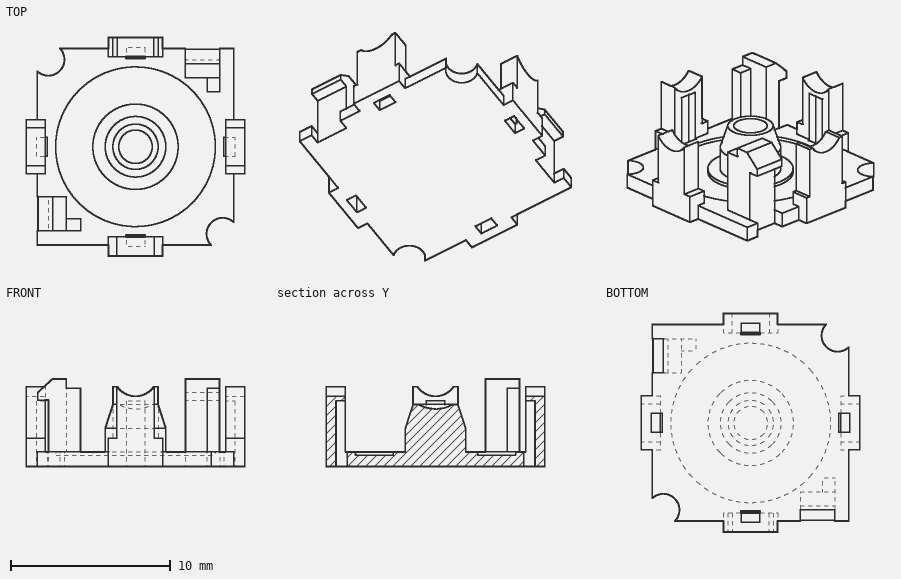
import cadquery as cq

overall_span = 13.7
plate_side = 12.3
plate_thickness = 0.93
corner_notch_radius = 1.0
corner_notch_offset = 5.45

recess_outer_diameter = 10.0
recess_inner_diameter = 5.34
recess_depth = 0.2

boss_diameter = 3.8
boss_straight_top = 2.41
boss_top_diameter = 2.84
boss_top = 3.89
dish_diameter = 2.1
dish_depth = 0.27

post_depth = 1.22
post_foot_width = 3.38
post_shoulder = 1.77
post_top = 5.01
post_width = 2.37
wide_post_width = 2.84
wide_post_saddle_width = 2.27
saddle_bottom = 4.41

slot_width = 1.18
slot_top = 4.11
slot_depth_in_post = 0.59
slot_clearance = 0.1

clip_height = 5.5
clip_near = 3.12
clip_far = 5.26
hook_tip = 6.11
hook_underside = 4.16
hook_ramp_start = 4.65
hook_ramp_end = 5.19
clip_stem_outer = 5.45
clip_stem_inner = 4.33
clip_rib_inner = 3.44
clip_rib_top = 4.92
clip_rib_width = 0.77


def make_plate():
    plate = cq.Workplane("XY").rect(plate_side, plate_side).extrude(plate_thickness)
    notches = (
        cq.Workplane("XY")
        .pushPoints([
            (-corner_notch_offset, corner_notch_offset),
            (corner_notch_offset, -corner_notch_offset),
        ])
        .circle(corner_notch_radius)
        .extrude(plate_thickness)
    )
    recess = (
        cq.Workplane("XY", origin=(0, 0, plate_thickness - recess_depth))
        .circle(recess_outer_diameter / 2)
        .circle(recess_inner_diameter / 2)
        .extrude(recess_depth)
    )
    return plate.cut(notches).cut(recess)


def make_boss():
    """Round boss with a tapered upper part and a spherical dish in its top."""
    profile = (
        cq.Workplane("XZ")
        .lineTo(boss_diameter / 2, 0)
        .lineTo(boss_diameter / 2, boss_straight_top)
        .lineTo(boss_top_diameter / 2, boss_top)
        .lineTo(0, boss_top)
        .close()
    )
    boss = profile.revolve(360, (0, 0, 0), (0, 1, 0))
    dish_radius = ((dish_diameter / 2) ** 2 + dish_depth ** 2) / (2 * dish_depth)
    dish = cq.Workplane("XY").sphere(dish_radius)
    return boss.cut(dish.translate((0, 0, boss_top - dish_depth + dish_radius)))


def make_post(width, saddle_width):
    """Post on the -Y side: a wide foot, a narrower column and a concave saddle on top."""
    outer_face_position = (0, -overall_span / 2, 0)
    centered_on_x = (True, False, False)
    foot = cq.Workplane("XY").box(post_foot_width, post_depth, post_shoulder, centered=centered_on_x)
    column = cq.Workplane("XY").box(width, post_depth, post_top, centered=centered_on_x)
    saddle = (
        cq.Workplane("XZ")
        .moveTo(saddle_width / 2, post_top)
        .threePointArc((0, saddle_bottom), (-saddle_width / 2, post_top))
        .close()
        .extrude(-post_depth)
    )
    return foot.union(column).cut(saddle).translate(outer_face_position)


def make_slot():
    """Cutter for the slot of the -Y post."""
    inner_face = -overall_span / 2 + post_depth
    length = slot_depth_in_post + slot_clearance
    return (
        cq.Workplane("XY")
        .box(slot_width, length, slot_top, centered=(True, False, False))
        .translate((0, inner_face - slot_depth_in_post, 0))
    )


def make_clip():
    """Snap clip at the -X, -Y corner, hooked towards -X, with a rib on its inner side."""
    hook = (
        cq.Workplane("XZ", origin=(0, -clip_near, 0))
        .moveTo(-clip_stem_inner, 0)
        .lineTo(-clip_stem_outer, 0)
        .lineTo(-clip_stem_outer, hook_underside)
        .lineTo(-hook_tip, hook_underside)
        .lineTo(-hook_tip, hook_ramp_start)
        .lineTo(-hook_ramp_end, clip_height)
        .lineTo(-clip_stem_inner, clip_height)
        .close()
        .extrude(clip_far - clip_near)
    )
    rib_length = clip_stem_inner - clip_rib_inner
    rib = (
        cq.Workplane("XY")
        .box(rib_length, clip_rib_width, clip_rib_top, centered=False)
        .translate((-clip_stem_inner, -clip_far, 0))
    )
    return hook.union(rib)


def make_clip_relief():
    """Cutter that clears the plate edge below the hook."""
    relief_depth = plate_side / 2 - clip_stem_outer
    return (
        cq.Workplane("XY")
        .box(relief_depth, clip_far - clip_near, plate_thickness, centered=False)
        .translate((-plate_side / 2, -clip_far, 0))
    )


def across_diagonal(shape):
    """Mirror image that swaps the -X, -Y corner with the +X, +Y corner."""
    return shape.mirror((1, 1, 0))


def turned(shape, angle):
    return shape.rotate((0, 0, 0), (0, 0, 1), angle)


result = make_plate().union(make_boss())

plain_post = make_post(post_width, post_width)
wide_post = make_post(wide_post_width, wide_post_saddle_width)
for angle in (0, 90, 180, 270):
    post = wide_post if angle == 180 else plain_post
    result = result.union(turned(post, angle)).cut(turned(make_slot(), angle))

clip = make_clip()
relief = make_clip_relief()
result = result.cut(relief).cut(across_diagonal(relief))
result = result.union(clip).union(across_diagonal(clip))